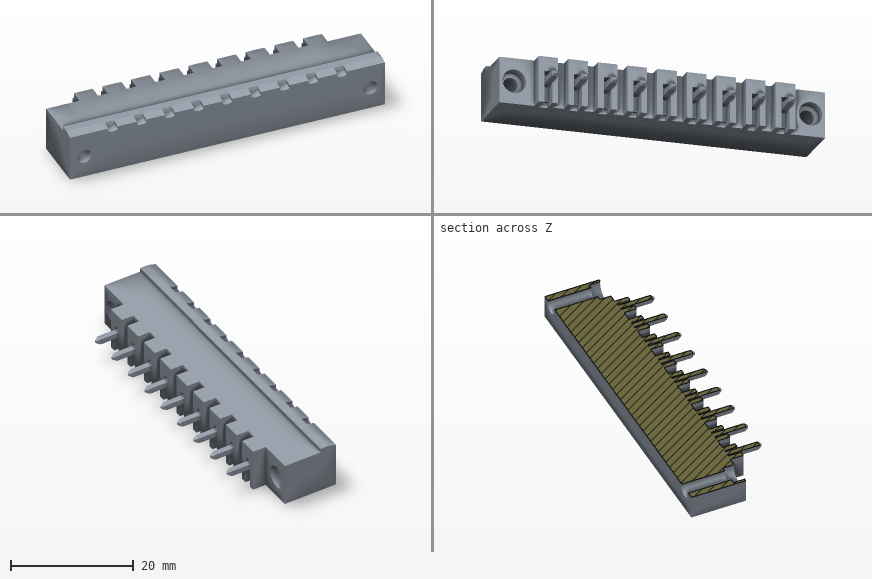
import cadquery as cq

length = 55.9
depth = 16.2
body_top = 7.9
lip_top = 8.6
lip_edge_top = 8.2
tooth_back = 3.95
flange_back = 6.35
lip_start = 13.25
lip_slope_start = 14.75

pin_count = 9
pitch = 5.1
axis_height = 3.9
pin_width = 1.0
pin_tip_width = 0.4
pin_tip_length = 0.65

tooth_width = 3.35
gap_width = pitch - tooth_width
gap_floor = 6.2
slot_width = 1.35
slot_top = 5.4
slot_floor = 6.2
slot_foot_height = 0.85
slot_foot_floor = 6.7

hole_diameter = 2.5
counterbore_diameter = 4.0
counterbore_depth = 2.0

notch_width = 1.7
notch_start = 14.8
notch_floor_start = 15.2
notch_start_drop = 0.9
notch_slope = 15.0
notch_floor_radius = 1.7

row_length = (pin_count - 1) * pitch
contact_places = [i * pitch - row_length / 2 for i in range(pin_count)]
hole_places = [-row_length / 2 - pitch, row_length / 2 + pitch]


def box(x_range, y_center, y_width, z_range):
    """Axis-aligned block, centred on y_center across the row."""
    (x0, x1), (z0, z1) = x_range, z_range
    block = cq.Workplane("XY").box(x1 - x0, y_width, z1 - z0, centered=(False, True, False))
    return block.translate((x0, y_center, z0))


def side_profile(points, y_center, y_width):
    """XZ outline extruded along the row, centred on y_center."""
    prism = cq.Workplane("XZ").polyline(points).close().extrude(y_width / 2, both=True)
    return prism.translate((0, y_center, 0))


def housing():
    """Lipped bar with a row of teeth on its back, joined by shallow webs between them."""
    outline = [
        (flange_back, 0),
        (depth, 0),
        (depth, lip_edge_top),
        (lip_slope_start, lip_top),
        (lip_start, lip_top),
        (lip_start, body_top),
        (flange_back, body_top),
    ]
    body = side_profile(outline, 0, length)
    for y in contact_places:
        body = body.union(box((tooth_back, flange_back), y, tooth_width, (0, body_top)))
    for y in contact_places[:-1]:
        body = body.union(box((gap_floor, flange_back), y + pitch / 2, gap_width, (0, body_top)))
    return body


def tooth_slot(y):
    """Slot up the tooth from below, recessed further at its foot."""
    slot = box((tooth_back, slot_floor), y, slot_width, (0, slot_top))
    foot = box((tooth_back, slot_foot_floor), y, slot_width, (0, slot_foot_height))
    return slot.union(foot)


def lip_notch(y):
    """Groove with a dished floor falling towards the mating face and a leaning back wall."""
    bottom = lip_top - 2 * notch_start_drop
    wall_lean = notch_floor_start - notch_start
    outline = [
        (notch_start, lip_top),
        (notch_start + 2 * wall_lean, bottom),
        (depth, bottom),
        (depth, lip_top),
    ]
    floor_cylinder = (
        cq.Workplane("YZ")
        .center(0, notch_floor_radius)
        .circle(notch_floor_radius)
        .extrude(depth - lip_start, both=True)
        .rotate((0, 0, 0), (0, 1, 0), notch_slope)
        .translate((notch_floor_start, y, lip_top - notch_start_drop))
    )
    return side_profile(outline, y, notch_width).intersect(floor_cylinder)


def pin(y):
    """Square contact pin with a tapered tip, rooted in the housing."""
    shank = box(
        (pin_tip_length, flange_back + pin_width),
        y,
        pin_width,
        (axis_height - pin_width / 2, axis_height + pin_width / 2),
    )
    tip = (
        cq.Workplane("YZ", origin=(0, y, axis_height))
        .rect(pin_tip_width, pin_tip_width)
        .workplane(offset=pin_tip_length)
        .rect(pin_width, pin_width)
        .loft(ruled=True)
    )
    return shank.union(tip)


def screw_hole(y):
    """Through hole along X, counterbored from the flange back."""
    face = cq.Workplane("YZ", origin=(flange_back, y, axis_height))
    bore = face.circle(hole_diameter / 2).extrude(depth - flange_back)
    return bore.union(face.circle(counterbore_diameter / 2).extrude(counterbore_depth))


result = housing()
for y in contact_places:
    result = result.cut(tooth_slot(y)).cut(lip_notch(y)).union(pin(y))
for y in hole_places:
    result = result.cut(screw_hole(y))